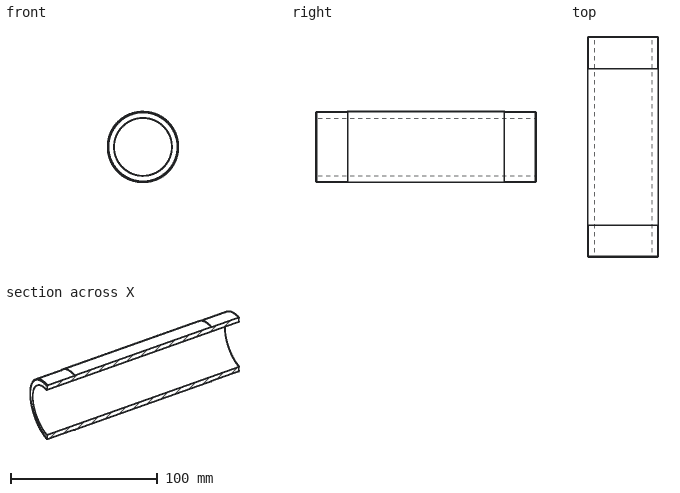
import cadquery as cq

length = 150.0
body_diameter = 48.3
end_diameter = 47.8
bore_diameter = 39.3
end_length = 21.8
edge_chamfer = 0.5

body_length = length - 2 * end_length


def cylinder_along_y(diameter, cylinder_length):
    """Cylinder on the Y axis, centred on the origin."""
    return (
        cq.Workplane("XZ", origin=(0, cylinder_length / 2, 0))
        .circle(diameter / 2)
        .extrude(cylinder_length)
    )


core = cylinder_along_y(end_diameter, length).edges("%CIRCLE").chamfer(edge_chamfer)
body = cylinder_along_y(body_diameter, body_length)
bore = cylinder_along_y(bore_diameter, length)

result = core.union(body).cut(bore)